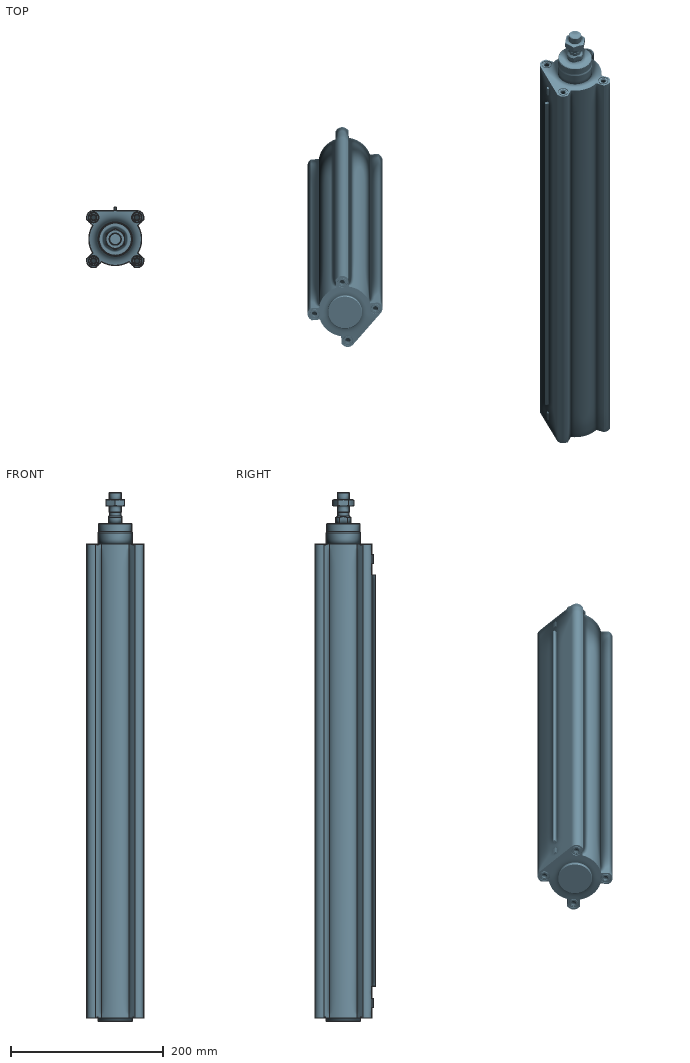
import cadquery as cq
import math

total_height = 693
body_bottom = 4.0
body_top = 625.0
collar_top = 652.0
collar_step = 642.0

half_width = 37.5
boss_spacing = 57.0
barrel_radius = 35.0
valley_offset = 18.0
flank_offset = 25.5

collar_diameter = 45.0
collar_upper_diameter = 44.0
collar_chamfer = 1.0
collar_taper_height = 2.0
spigot_chamfer = 1.0

seat_diameter = 14.0
seat_depth = 1.5
screw_head_diameter = 12.0
rim_diameter = 8.0
rim_depth = 1.0
socket_diameter = 6.65
socket_depth = 8.0

rail_width = 3.5
rail_height = 5.0
rail_bottom = 46.0
rail_top = 585.0
lug_height = 2.0
lug_length = 12.0
lug_inset = 14.0

rod_diameter = 20.0
thread_diameter = 16.0
undercut_diameter = 15.0
thread_bottom = 667.0
rod_shoulder = 662.0
rod_chamfer = 2.0
thread_chamfer = 1.0
flat_spacing = 17.0

nut_across_flats = 24.0
nut_bottom = 675.0
nut_thickness = 8.0
nut_chamfer_height = 1.0

boss_offset = boss_spacing / 2
boss_radius = half_width - boss_offset
valley_depth = math.sqrt(barrel_radius**2 - valley_offset**2)
arc_middle = boss_offset + boss_radius / math.sqrt(2)


def cylinder(diameter, bottom, top):
    """Upright cylinder on the main axis between two heights."""
    return cq.Workplane("XY").workplane(offset=bottom).circle(diameter / 2).extrude(top - bottom)


def turned(x, y, quarter_turns):
    """Point turned clockwise about the main axis by whole quarter turns."""
    for _ in range(quarter_turns):
        x, y = y, -x
    return x, y


def make_profile_body():
    """Barrel with four corner bosses; the +Y side is flat between its bosses."""
    outline = cq.Workplane("XY").workplane(offset=body_bottom)
    outline = outline.moveTo(-boss_offset, half_width).lineTo(boss_offset, half_width)
    for side in range(3):
        outline = (
            outline
            .threePointArc(turned(arc_middle, arc_middle, side), turned(half_width, boss_offset, side))
            .lineTo(*turned(half_width, flank_offset, side))
            .lineTo(*turned(valley_depth, valley_offset, side))
            .threePointArc(turned(barrel_radius, 0, side), turned(valley_depth, -valley_offset, side))
            .lineTo(*turned(half_width, -flank_offset, side))
            .lineTo(*turned(half_width, -boss_offset, side))
        )
    outline = outline.threePointArc((-arc_middle, arc_middle), (-boss_offset, half_width)).close()
    return outline.extrude(body_top - body_bottom)


def corner_cylinders(diameter, start, depth):
    """Four cylinders on the boss axes; a negative depth runs downward."""
    plane = cq.Workplane("XY").workplane(offset=start)
    centers = plane.rect(boss_spacing, boss_spacing, forConstruction=True).vertices()
    return centers.circle(diameter / 2).extrude(depth)


def make_screw_seats(end_height, inward):
    """Cutters for one end: a ring around each screw head, with a stepped socket in the head."""
    rings = corner_cylinders(seat_diameter, end_height, inward * seat_depth)
    rings = rings.cut(corner_cylinders(screw_head_diameter, end_height, inward * seat_depth))
    rims = corner_cylinders(rim_diameter, end_height, inward * rim_depth)
    sockets = corner_cylinders(socket_diameter, end_height, inward * socket_depth)
    return rings.union(rims).union(sockets)


def make_face_block(height, bottom, top):
    """Narrow block on the middle of the +Y face."""
    block = cq.Workplane("XY").box(rail_width, height, top - bottom, centered=(True, False, False))
    return block.translate((0, half_width, bottom))


def make_rail():
    """Long rail on the +Y face with a half-round crest."""
    crest_start = half_width + rail_height - rail_width / 2
    outline = (
        cq.Workplane("XY").workplane(offset=rail_bottom)
        .moveTo(-rail_width / 2, half_width)
        .lineTo(rail_width / 2, half_width)
        .lineTo(rail_width / 2, crest_start)
        .threePointArc((0, half_width + rail_height), (-rail_width / 2, crest_start))
        .close()
    )
    return outline.extrude(rail_top - rail_bottom)


def make_housing():
    upper_collar = cylinder(collar_upper_diameter, collar_step, collar_top)
    upper_collar = upper_collar.faces(">Z").chamfer(collar_chamfer)
    taper_width = (collar_diameter - collar_upper_diameter) / 2
    lower_collar = cylinder(collar_diameter, body_top, collar_step)
    lower_collar = lower_collar.faces(">Z").chamfer(collar_taper_height, taper_width)
    housing = make_profile_body().union(lower_collar).union(upper_collar)
    spigot = cylinder(collar_diameter, 0, body_bottom).faces("<Z").chamfer(spigot_chamfer)
    housing = housing.union(spigot)

    housing = housing.union(make_rail())
    for lug_bottom in (body_bottom + lug_inset, body_top - lug_inset - lug_length):
        housing = housing.union(make_face_block(lug_height, lug_bottom, lug_bottom + lug_length))

    housing = housing.cut(make_screw_seats(body_top, -1))
    housing = housing.cut(make_screw_seats(body_bottom, 1))
    return housing.cut(cylinder(rod_diameter, body_top, collar_top))


def make_rod():
    shank = cylinder(rod_diameter, body_top, rod_shoulder).faces(">Z").chamfer(rod_chamfer)
    flats = (
        cq.Workplane("XY").workplane(offset=collar_top)
        .rect(2 * rod_diameter, 2 * rod_diameter)
        .rect(flat_spacing, 2 * rod_diameter)
        .extrude(rod_shoulder - collar_top)
    )
    undercut = cylinder(undercut_diameter, rod_shoulder, thread_bottom)
    thread = cylinder(thread_diameter, thread_bottom, total_height)
    thread = thread.faces("|Z").chamfer(thread_chamfer)
    return shank.cut(flats).union(undercut).union(thread)


def make_nut():
    """Hexagonal nut with corners on the Y axis."""
    across_corners = nut_across_flats / math.cos(math.pi / 6)
    blank = cq.Workplane("XY").workplane(offset=nut_bottom).polygon(6, across_corners)
    blank = blank.extrude(nut_thickness).rotate((0, 0, 0), (0, 0, 1), 90)
    corner_chamfer = (across_corners - nut_across_flats) / 2
    envelope = cylinder(across_corners, nut_bottom, nut_bottom + nut_thickness)
    envelope = envelope.faces(">Z").chamfer(nut_chamfer_height, corner_chamfer)
    envelope = envelope.faces("<Z").chamfer(nut_chamfer_height, corner_chamfer)
    blank = blank.intersect(envelope)
    return blank.cut(cylinder(thread_diameter, nut_bottom, nut_bottom + nut_thickness))


housing = make_housing()
rod = make_rod()
nut = make_nut()

result = cq.Compound.makeCompound([housing.val(), rod.val(), nut.val()])